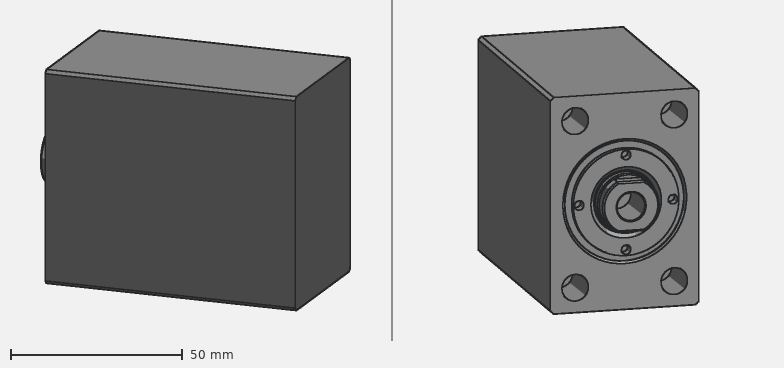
import cadquery as cq
import math


total_length = 85.0
housing_width = 45.0
housing_height = 65.0
rod_projection = 7.0
housing_length = total_length - rod_projection
edge_chamfer = 1.0

mount_spacing_y = 30.0
mount_spacing_z = 50.0
mount_diameter = 8.0
mount_depth = 17.0

gland_diameter = 36.0
seat_mouth_diameter = 37.5
seat_chamfer = (seat_mouth_diameter - gland_diameter) / 2
gland_depth = 17.0
shoulder_depth = 0.3
boss_diameter = 32.0
boss_projection = 1.5
wiper_mouth_diameter = 21.3
wiper_floor_diameter = 18.9
wiper_depth = (wiper_mouth_diameter - wiper_floor_diameter) / 2
spanner_hole_count = 4
spanner_circle_diameter = 28.4
spanner_hole_diameter = 2.8
spanner_hole_depth = 3.4

rod_diameter = 18.0
rod_end_diameter = 17.2
rod_end_length = 4.0
rod_end_chamfer = 0.5
collar_chamfer = (rod_diameter - rod_end_diameter) / 2
flats_width = 15.1
rod_hole_diameter = 8.4
rod_hole_mouth_diameter = 9.0
rod_hole_chamfer = (rod_hole_mouth_diameter - rod_hole_diameter) / 2
rod_hole_depth = 15.3

drill_point_angle = 118.0


def revolve_about_x(profile):
    """Solid of revolution about the X axis from (x, radius) points."""
    return cq.Workplane("XY").polyline(profile).close().revolve(360, (0, 0, 0), (1, 0, 0))


def drilled_hole(x_face, diameter, depth, y=0.0, z=0.0):
    """Cutter for a blind hole with a conical drill point, entering a face along +X."""
    radius = diameter / 2
    point_length = radius / math.tan(math.radians(drill_point_angle / 2))
    profile = [
        (x_face, 0),
        (x_face, radius),
        (x_face + depth, radius),
        (x_face + depth + point_length, 0),
    ]
    return revolve_about_x(profile).translate((0, y, z))


def make_housing():
    housing = (
        cq.Workplane("XY")
        .box(housing_length, housing_width, housing_height, centered=(False, True, True))
        .edges("|X")
        .chamfer(edge_chamfer)
    )
    gland_seat = revolve_about_x([
        (0, 0),
        (0, seat_mouth_diameter / 2),
        (seat_chamfer, gland_diameter / 2),
        (gland_depth, gland_diameter / 2),
        (gland_depth, 0),
    ])
    housing = housing.cut(gland_seat)
    for side_y in (-1, 1):
        for side_z in (-1, 1):
            y = side_y * mount_spacing_y / 2
            z = side_z * mount_spacing_z / 2
            housing = housing.cut(drilled_hole(0, mount_diameter, mount_depth, y, z))
    return housing


def make_gland():
    face_x = -boss_projection
    wiper_floor_x = face_x + wiper_depth
    gland = revolve_about_x([
        (face_x, wiper_mouth_diameter / 2),
        (face_x, boss_diameter / 2),
        (shoulder_depth, boss_diameter / 2),
        (shoulder_depth, gland_diameter / 2),
        (gland_depth, gland_diameter / 2),
        (gland_depth, rod_diameter / 2),
        (wiper_floor_x, rod_diameter / 2),
        (wiper_floor_x, wiper_floor_diameter / 2),
    ])
    for index in range(spanner_hole_count):
        angle = 2 * math.pi * index / spanner_hole_count
        y = spanner_circle_diameter / 2 * math.cos(angle)
        z = spanner_circle_diameter / 2 * math.sin(angle)
        gland = gland.cut(drilled_hole(face_x, spanner_hole_diameter, spanner_hole_depth, y, z))
    return gland


def make_rod_end(end_x, collar_x):
    """Front end of the rod with two spanner flats, square to Z, and a chamfered rim."""
    rod_end = revolve_about_x([
        (end_x, 0),
        (end_x, rod_end_diameter / 2 - rod_end_chamfer),
        (end_x + rod_end_chamfer, rod_end_diameter / 2),
        (collar_x, rod_end_diameter / 2),
        (collar_x, 0),
    ])
    flats_envelope = (
        cq.Workplane("XZ")
        .polyline([
            (end_x, -flats_width / 2 + rod_end_chamfer),
            (end_x, flats_width / 2 - rod_end_chamfer),
            (end_x + rod_end_chamfer, flats_width / 2),
            (collar_x, flats_width / 2),
            (collar_x, -flats_width / 2),
            (end_x + rod_end_chamfer, -flats_width / 2),
        ])
        .close()
        .extrude(rod_end_diameter / 2, both=True)
    )
    return rod_end.intersect(flats_envelope)


def make_rod():
    end_x = -rod_projection
    collar_x = end_x + rod_end_length
    shaft = revolve_about_x([
        (collar_x, 0),
        (collar_x, rod_end_diameter / 2),
        (collar_x + collar_chamfer, rod_diameter / 2),
        (gland_depth, rod_diameter / 2),
        (gland_depth, 0),
    ])
    hole_mouth = revolve_about_x([
        (end_x, 0),
        (end_x, rod_hole_mouth_diameter / 2),
        (end_x + rod_hole_chamfer, rod_hole_diameter / 2),
        (end_x + rod_hole_chamfer, 0),
    ])
    rod = shaft.union(make_rod_end(end_x, collar_x))
    rod = rod.cut(drilled_hole(end_x, rod_hole_diameter, rod_hole_depth))
    return rod.cut(hole_mouth)


housing = make_housing()
gland = make_gland()
rod = make_rod()

result = cq.Compound.makeCompound([housing.val(), gland.val(), rod.val()])